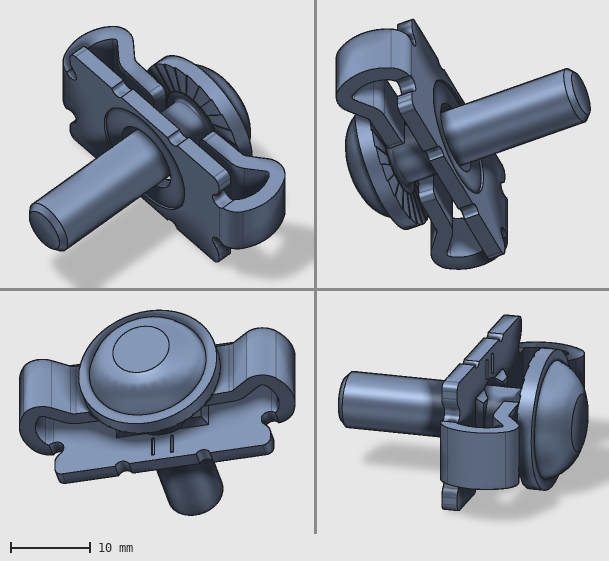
import cadquery as cq
import math

SHEET = 2.0
PLATE_HALF_X = 13.82
PLATE_HALF_Z = 8.47
CORNER_RADIUS = 0.98
HOLE_RADIUS = 4.5
RECESS_RADIUS = 7.5
RECESS_DEPTH = 0.35

EDGE_NOTCH_X = 5.18
EDGE_NOTCH_RADIUS = 0.98
EDGE_NOTCH_DEPTH = 0.63
EDGE_STEP = 0.1

RELIEF_RADIUS = 1.0
RELIEF_X = 13.68
RELIEF_Z = 4.35
RELIEF_BLEND_RADIUS = 1.5
RELIEF_REACH = 1.5 * SHEET

PAD_HALF_X = 5.9
PAD_HALF_Z = 4.0
PAD_HEIGHT = 0.8

RIDGE_X = 1.22
RIDGE_INNER_Z = 4.97
RIDGE_OUTER_Z = 7.52
RIDGE_HEIGHT = 0.17

HALF_LENGTH = 17.5
ARM_HALF_WIDTH = 3.75
ARM_TIP_X = 4.25
ARM_TIP_RADIUS = 0.98
ROOT_RADIUS = 3.0
ROOT_ANGLE = 61.0
BOW_RADIUS = 6.93
BOW_ANGLE = 65.0
CREST_RADIUS = 2.55
SLOPE_ANGLE = 38.5
SLOPE_LENGTH = 2.65
HEEL_RADIUS = 1.05
TIP_ANGLE = 1.9

SHANK_RADIUS = 3.55
SCREW_TIP_Y = -16.85
TIP_CHAMFER = 0.75
FLANGE_RADIUS = 8.85
FLANGE_BOTTOM_Y = 8.1
FLANGE_TOP_Y = 10.15
NECK_FILLET_RADIUS = 0.45
DOME_BASE_RADIUS = 7.5
DOME_MIDDLE_RADIUS = 6.15
DOME_MIDDLE_Y = 12.3
DOME_TOP_RADIUS = 3.6
SCREW_TOP_Y = 13.82

TOOTH_COUNT = 24
TOOTH_DEPTH = 0.15
TOOTH_INNER_RADIUS = 4.8
CREST_OFFSET = 1.15

CUT_MARGIN = 0.35


def plane_at(y):
    """Workplane at the given Y with local axes along X and Z; its normal is -Y."""
    return cq.Workplane(cq.Plane(origin=(0, y, 0), xDir=(1, 0, 0), normal=(0, -1, 0)))


def four_corners(x, z):
    return [(x, z), (-x, z), (x, -z), (-x, -z)]


def plate_blank():
    blank = plane_at(0).rect(2 * PLATE_HALF_X, 2 * PLATE_HALF_Z).extrude(-SHEET)
    return blank.edges("|Y").fillet(CORNER_RADIUS)


def cut_edge_notches(plate):
    notch_z = PLATE_HALF_Z - EDGE_NOTCH_DEPTH + EDGE_NOTCH_RADIUS
    centres = four_corners(EDGE_NOTCH_X, notch_z)
    notches = plane_at(0).pushPoints(centres).circle(EDGE_NOTCH_RADIUS).extrude(-SHEET)
    steps = (
        plane_at(0)
        .pushPoints([(0, PLATE_HALF_Z), (0, -PLATE_HALF_Z)])
        .rect(2 * EDGE_NOTCH_X, 2 * EDGE_STEP)
        .extrude(-SHEET)
    )
    return plate.cut(notches).cut(steps)


def relief_flank():
    """Wedge between an arm edge and the 45 degree flank of a relief notch."""
    diagonal = RELIEF_RADIUS * math.sqrt(0.5)
    tangent_x = RELIEF_X - diagonal
    tangent_z = RELIEF_Z + diagonal
    outer_x = PLATE_HALF_X + CUT_MARGIN
    return (
        plane_at(0)
        .moveTo(tangent_x, tangent_z)
        .lineTo(outer_x, tangent_z + outer_x - tangent_x)
        .lineTo(outer_x, ARM_HALF_WIDTH)
        .lineTo(RELIEF_X, ARM_HALF_WIDTH)
        .close()
        .extrude(-SHEET)
    )


def cut_relief_flanks(plate):
    flank = relief_flank()
    flanks = flank.union(flank.mirror("YZ"))
    flanks = flanks.union(flanks.mirror("XY"))
    plate = plate.cut(flanks)
    corner_z = RELIEF_Z + RELIEF_RADIUS * math.sqrt(2) + PLATE_HALF_X - RELIEF_X
    for x, z in four_corners(PLATE_HALF_X, corner_z):
        corner = cq.selectors.NearestToPointSelector((x, SHEET / 2, z))
        plate = plate.edges("|Y").edges(corner).fillet(RELIEF_BLEND_RADIUS)
    return plate


def relief_holes():
    """Round ends of the relief notches; they also bite into the rising arm roots."""
    centres = four_corners(RELIEF_X, RELIEF_Z)
    return plane_at(0).pushPoints(centres).circle(RELIEF_RADIUS).extrude(-RELIEF_REACH)


def add_bend(path, start, heading, radius, turn):
    """Append an arc that leaves along the heading; a positive turn bends left."""
    side = math.copysign(radius, turn)

    def point_at(angle):
        return (
            start[0] + side * (math.sin(angle) - math.sin(heading)),
            start[1] - side * (math.cos(angle) - math.cos(heading)),
        )

    end_heading = heading + turn
    end = point_at(end_heading)
    return path.threePointArc(point_at(heading + turn / 2), end), end, end_heading


def arm_centre_line():
    """Middle of the sheet of the +X arm, from the plate edge round to the tip."""
    half_sheet = SHEET / 2
    root_turn = math.radians(ROOT_ANGLE)
    bow_turn = math.radians(BOW_ANGLE)
    slope_heading = math.radians(180 + SLOPE_ANGLE)
    tip_heading = math.radians(180 + TIP_ANGLE)
    root_x = HALF_LENGTH - BOW_RADIUS + (BOW_RADIUS - ROOT_RADIUS) * math.sin(root_turn)

    inside = (PLATE_HALF_X - SHEET, half_sheet)
    end = (root_x, half_sheet)
    path = cq.Workplane("XY").moveTo(*inside).lineTo(*end)
    path, end, heading = add_bend(path, end, 0.0, ROOT_RADIUS - half_sheet, root_turn)
    path, end, heading = add_bend(path, end, heading, BOW_RADIUS - half_sheet, bow_turn)
    path, end, heading = add_bend(path, end, heading, CREST_RADIUS - half_sheet, slope_heading - heading)
    end = (end[0] + SLOPE_LENGTH * math.cos(heading), end[1] + SLOPE_LENGTH * math.sin(heading))
    path = path.lineTo(*end)
    path, end, heading = add_bend(path, end, heading, HEEL_RADIUS + half_sheet, tip_heading - heading)
    return path.lineTo(ARM_TIP_X, end[1] + (ARM_TIP_X - end[0]) * math.tan(heading))


def spring_arm():
    section = cq.Workplane("YZ", origin=(PLATE_HALF_X - SHEET, SHEET / 2, 0))
    arm = section.rect(SHEET, 2 * ARM_HALF_WIDTH).sweep(arm_centre_line())
    tip_edges = arm.faces("<X").edges("not |Z")
    return tip_edges.fillet(ARM_TIP_RADIUS)


def raised_pad():
    return (
        plane_at(SHEET)
        .rect(2 * PAD_HALF_X, 2 * PAD_HALF_Z)
        .workplane(offset=-PAD_HEIGHT)
        .rect(2 * (PAD_HALF_X - PAD_HEIGHT), 2 * (PAD_HALF_Z - PAD_HEIGHT))
        .loft(combine=True)
    )


def ridges():
    """Four ridges of right-angled V section that run along Z."""
    ridge = (
        cq.Workplane("XY", origin=(RIDGE_X, SHEET, RIDGE_INNER_Z))
        .moveTo(-RIDGE_HEIGHT, 0)
        .lineTo(RIDGE_HEIGHT, 0)
        .lineTo(0, RIDGE_HEIGHT)
        .close()
        .extrude(RIDGE_OUTER_Z - RIDGE_INNER_Z)
    )
    pair = ridge.union(ridge.mirror("YZ"))
    return pair.union(pair.mirror("XY"))


def build_clip():
    plate = cut_relief_flanks(cut_edge_notches(plate_blank()))
    arm = spring_arm()
    clip = plate.union(arm).union(arm.mirror("YZ")).cut(relief_holes())
    clip = clip.union(raised_pad()).union(ridges())
    recess = plane_at(0).circle(RECESS_RADIUS).extrude(-RECESS_DEPTH)
    hole = plane_at(0).circle(HOLE_RADIUS).extrude(-SHEET - PAD_HEIGHT)
    return clip.cut(recess).cut(hole)


def screw_blank():
    ring_y = FLANGE_BOTTOM_Y + TOOTH_DEPTH
    neck_y = ring_y - NECK_FILLET_RADIUS
    fillet_middle = NECK_FILLET_RADIUS * (1 - math.sqrt(0.5))
    profile = (
        cq.Workplane("XY")
        .moveTo(0, SCREW_TIP_Y)
        .lineTo(SHANK_RADIUS - TIP_CHAMFER, SCREW_TIP_Y)
        .lineTo(SHANK_RADIUS, SCREW_TIP_Y + TIP_CHAMFER)
        .lineTo(SHANK_RADIUS, neck_y)
        .threePointArc(
            (SHANK_RADIUS + fillet_middle, ring_y - fillet_middle),
            (SHANK_RADIUS + NECK_FILLET_RADIUS, ring_y),
        )
        .lineTo(TOOTH_INNER_RADIUS, ring_y)
        .lineTo(TOOTH_INNER_RADIUS, FLANGE_BOTTOM_Y)
        .lineTo(FLANGE_RADIUS, FLANGE_BOTTOM_Y)
        .lineTo(FLANGE_RADIUS, FLANGE_TOP_Y)
        .lineTo(DOME_BASE_RADIUS, FLANGE_TOP_Y)
        .threePointArc((DOME_MIDDLE_RADIUS, DOME_MIDDLE_Y), (DOME_TOP_RADIUS, SCREW_TOP_Y))
        .lineTo(0, SCREW_TOP_Y)
        .close()
    )
    return profile.revolve(360, (0, 0, 0), (0, 1, 0))


def tooth_gap(crest_angle):
    """Tetrahedron that leaves one slanted tooth face and the step behind it."""
    pitch = math.radians(360 / TOOTH_COUNT)
    reach = FLANGE_RADIUS + CUT_MARGIN
    root_y = FLANGE_BOTTOM_Y + TOOTH_DEPTH * reach / FLANGE_RADIUS

    def point_on_crest(angle, distance, y):
        """Point on a crest line, which runs parallel to the radius at the angle."""
        return cq.Vector(
            distance * math.cos(angle) - CREST_OFFSET * math.sin(angle),
            y,
            distance * math.sin(angle) + CREST_OFFSET * math.cos(angle),
        )

    apex = point_on_crest(crest_angle, -CREST_OFFSET * math.tan(pitch / 2), FLANGE_BOTTOM_Y)
    crest = point_on_crest(crest_angle, reach, FLANGE_BOTTOM_Y)
    lip = point_on_crest(crest_angle + pitch, reach, FLANGE_BOTTOM_Y)
    root = point_on_crest(crest_angle + pitch, reach, root_y)
    triangles = [(apex, crest, lip), (apex, lip, root), (apex, root, crest), (crest, root, lip)]
    faces = [cq.Face.makeFromWires(cq.Wire.makePolygon(corners, close=True)) for corners in triangles]
    return cq.Solid.makeSolid(cq.Shell.makeShell(faces))


def build_screw():
    screw = screw_blank()
    neck = plane_at(FLANGE_BOTTOM_Y).circle(TOOTH_INNER_RADIUS).extrude(-TOOTH_DEPTH)
    for index in range(TOOTH_COUNT):
        gap = cq.Workplane(tooth_gap(math.radians(index * 360 / TOOTH_COUNT)))
        screw = screw.cut(gap.cut(neck))
    return screw


clip = build_clip()
screw = build_screw()
result = cq.Compound.makeCompound([clip.solids().val(), screw.solids().val()])